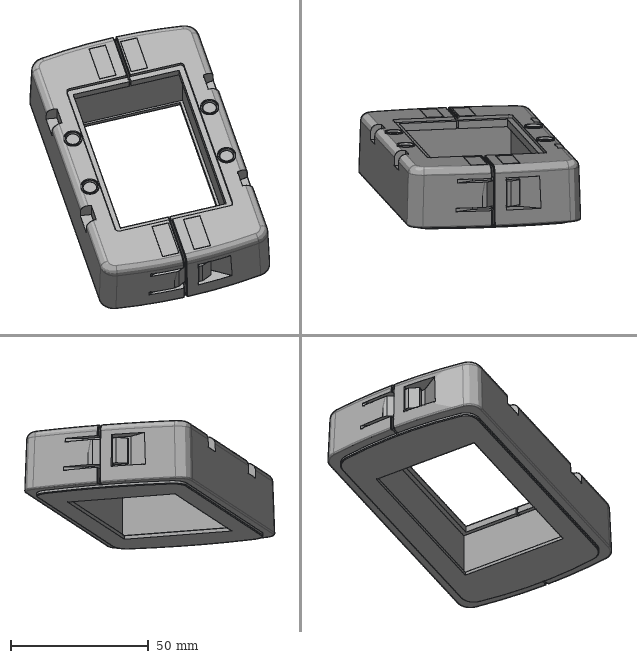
import cadquery as cq
case_length = 106.0
case_width = 64.0
base_height = 1.2
case_top = 23.3
wall_taper = 1.7
end_sagitta = 2.8
corner_radius = 5.5
top_fillet = 2.8
bottom_fillet = 0.5

split_offset = 1.54
gap_width = 0.6
groove_width = 1.3
groove_depth = 0.5

window_length = 62.3
window_width = 39.8
window_rim = 2.1
window_rim_depth = 1.2
window_rim_radius = 1.3

base_inset = 3.4
base_chamfer = 0.3
sleeve_length = 65.1
sleeve_width = 43.2
sleeve_wall = 1.6
sleeve_top = 19.4
lip_length = 63.6
lip_width = 41.1
lip_top = 1.4

notch_spacing = 45.1
notch_inner_width = 6.5
notch_outer_width = 7.9
notch_inner_y = 27.5
notch_floor = 17.7

pad_spacing = 22.5
pad_y = 25.7
pad_outer_diameter = 6.6
pad_inner_diameter = 5.5
pad_floor_diameter = 4.9
pad_height = 0.4
pad_recess = 0.3
label_length = 14.0
label_width = 6.1
label_x = 41.5
label_y = 5.9
label_depth = 0.1

latch_face_x = -52.5
latch_bottom = 7.0
latch_top = 18.9
latch_slot = 1.3
latch_root_y = 16.1
latch_bend_y = 8.7
latch_depth = 3.2
arm_step_y = 5.6
arm_step = 0.2
arm_ramp_y = 3.9
arm_ramp_end_y = 1.2
arm_neck_depth = 1.7
hook_catch_y = -3.6
hook_ramp_y = -5.0
hook_tip_y = -8.7
hook_tip_depth = 2.0
strap_edge_y = -3.3
strap_thickness = 1.5
catch_window_end_y = -16.8
catch_slope_end_y = -9.0
catch_depth = 5.2

clearance = 2.1


def case_outline(inset=0.0):
    """Rectangle with bulged ends, pulled in by the inset, on the XY plane."""
    half_length = case_length / 2 - inset
    half_width = case_width / 2 - inset
    corner_x = half_length - end_sagitta
    return (
        cq.Workplane("XY")
        .moveTo(-corner_x, -half_width)
        .lineTo(corner_x, -half_width)
        .threePointArc((half_length, 0), (corner_x, half_width))
        .lineTo(-corner_x, half_width)
        .threePointArc((-half_length, 0), (-corner_x, -half_width))
        .close()
    )


def box_between(length, width, bottom, top):
    """Box centred on the Z axis between two heights."""
    return (
        cq.Workplane("XY", origin=(0, 0, bottom))
        .rect(length, width)
        .extrude(top - bottom)
    )


def latch_prism(profile, bottom, top):
    """Prism at the -X end; the profile lists (depth below the end wall, y)."""
    points = [(latch_face_x + depth, y) for depth, y in profile]
    return (
        cq.Workplane("XY", origin=(0, 0, bottom))
        .polyline(points)
        .close()
        .extrude(top - bottom)
    )


def turned(shape):
    """Half a turn about Z."""
    return shape.rotate((0, 0, 0), (0, 0, 1), 180)


def case_block(inset=0.0):
    """Outer form of the closed case, without openings; the inset shrinks its sides and top."""
    height = case_top - inset - base_height
    block = (
        case_outline(inset)
        .extrude(height, taper=wall_taper)
        .translate((0, 0, base_height))
    )
    upright_edges = [
        edge
        for edge in block.edges().vals()
        if edge.BoundingBox().zlen > height / 2
    ]
    block = block.newObject(upright_edges).fillet(corner_radius)
    block = block.faces(">Z").edges().fillet(top_fillet)
    return block.faces("<Z").edges().fillet(bottom_fillet)


def window_opening():
    """Window with its sunk rim at the top and the seat of the sleeve below."""
    through = box_between(window_length, window_width, 0, case_top)
    rim = box_between(
        window_length + 2 * window_rim,
        window_width + 2 * window_rim,
        case_top - window_rim_depth,
        case_top,
    ).edges("|Z").fillet(window_rim_radius)
    seat = box_between(
        sleeve_length + 2 * sleeve_wall, sleeve_width + 2 * sleeve_wall, 0, sleeve_top
    )
    return through.union(rim).union(seat)


def half_region():
    """Space on the +Y side of the split, with the offset gap left free."""
    reach = case_length
    left_y = split_offset + gap_width / 2
    right_y = -split_offset + gap_width / 2
    return (
        cq.Workplane("XY")
        .polyline([
            (-reach, left_y),
            (0, left_y),
            (0, right_y),
            (reach, right_y),
            (reach, reach),
            (-reach, reach),
        ])
        .close()
        .extrude(case_top + pad_height)
    )


def split_groove():
    """Shallow groove along both gaps, on the outer surface only."""
    strips = cq.Workplane("XY")
    for side in (-1, 1):
        strip = (
            cq.Workplane("XY")
            .center(side * case_length / 2, -side * split_offset)
            .rect(case_length, groove_width)
            .extrude(case_top)
        )
        strips = strips.union(strip)
    return strips.cut(case_block(groove_depth))


def grip_notch(x):
    """Tapered notch in the +Y top edge."""
    outer_y = case_width / 2
    return (
        cq.Workplane("XY", origin=(x, 0, notch_floor))
        .polyline([
            (-notch_inner_width / 2, notch_inner_y),
            (notch_inner_width / 2, notch_inner_y),
            (notch_outer_width / 2, outer_y),
            (-notch_outer_width / 2, outer_y),
        ])
        .close()
        .extrude(case_top)
    )


def label_panel(x):
    """Shallow rectangular panel in the top face."""
    return (
        cq.Workplane("XY", origin=(x, label_y, case_top - label_depth))
        .rect(label_length, label_width)
        .extrude(clearance)
    )


def pad_disc(x):
    """Raised disc that starts inside the case at the level of the pad's floor."""
    return (
        cq.Workplane("XY", origin=(x, pad_y, case_top - pad_recess))
        .circle(pad_outer_diameter / 2)
        .extrude(pad_recess + pad_height)
    )


def pad_dish(x):
    """Conical recess in the pad."""
    cone = cq.Solid.makeCone(
        pad_floor_diameter / 2,
        pad_inner_diameter / 2,
        pad_recess + pad_height,
        pnt=cq.Vector(x, pad_y, case_top - pad_recess),
    )
    return cq.Workplane(cone)


def latch_pocket():
    """Pocket around the arm, with a sloped floor at the arm's root."""
    return latch_prism(
        [
            (-clearance, latch_root_y),
            (0, latch_root_y),
            (latch_depth, latch_bend_y),
            (latch_depth, 0),
            (-clearance, 0),
        ],
        latch_bottom,
        latch_top,
    )


def latch_arm():
    """Arm that dips under the strap and ends in a ramped hook."""
    return latch_prism(
        [
            (0, latch_root_y),
            (-clearance, latch_root_y),
            (-clearance, arm_step_y),
            (0, arm_step_y),
            (arm_step, arm_ramp_y),
            (arm_neck_depth, arm_ramp_end_y),
            (arm_neck_depth, hook_catch_y),
            (arm_step, hook_catch_y),
            (arm_step, hook_ramp_y),
            (hook_tip_depth, hook_tip_y),
            (latch_depth, hook_tip_y),
            (latch_depth, latch_bend_y),
        ],
        latch_bottom + latch_slot,
        latch_top - latch_slot,
    )


def catch_pocket():
    """Passage under the strap that opens into the catch window."""
    return latch_prism(
        [
            (strap_thickness, clearance),
            (strap_thickness, strap_edge_y),
            (-clearance, strap_edge_y),
            (-clearance, catch_window_end_y),
            (0, catch_window_end_y),
            (catch_depth, catch_slope_end_y),
            (catch_depth, clearance),
        ],
        latch_bottom,
        latch_top,
    )


def case_half(angle):
    """One case half; turned about Z, the same half closes the other side."""
    block = case_block()
    half = block.cut(window_opening()).intersect(half_region()).cut(split_groove())
    half = half.cut(latch_pocket()).union(latch_arm().intersect(block))
    half = half.cut(turned(catch_pocket()))
    for side in (-1, 1):
        half = half.cut(grip_notch(side * notch_spacing / 2))
        half = half.cut(label_panel(side * label_x))
        half = half.union(pad_disc(side * pad_spacing / 2))
        half = half.cut(pad_dish(side * pad_spacing / 2))
    return half.rotate((0, 0, 0), (0, 0, 1), angle)


def base_ring():
    """Plate under both halves, with the sleeve that lines the window."""
    plate = case_outline(base_inset).extrude(base_height)
    plate = plate.edges("|Z").fillet(corner_radius)
    plate = plate.faces("<Z").edges().chamfer(base_chamfer)
    sleeve = box_between(
        sleeve_length + 2 * sleeve_wall,
        sleeve_width + 2 * sleeve_wall,
        base_height / 2,
        sleeve_top,
    )
    bore = box_between(sleeve_length, sleeve_width, lip_top, sleeve_top)
    lip_opening = box_between(lip_length, lip_width, 0, lip_top)
    return plate.union(sleeve).cut(bore).cut(lip_opening)


halves = [case_half(angle) for angle in (0, 180)]
base = base_ring()

result = cq.Compound.makeCompound([*[half.val() for half in halves], base.val()])